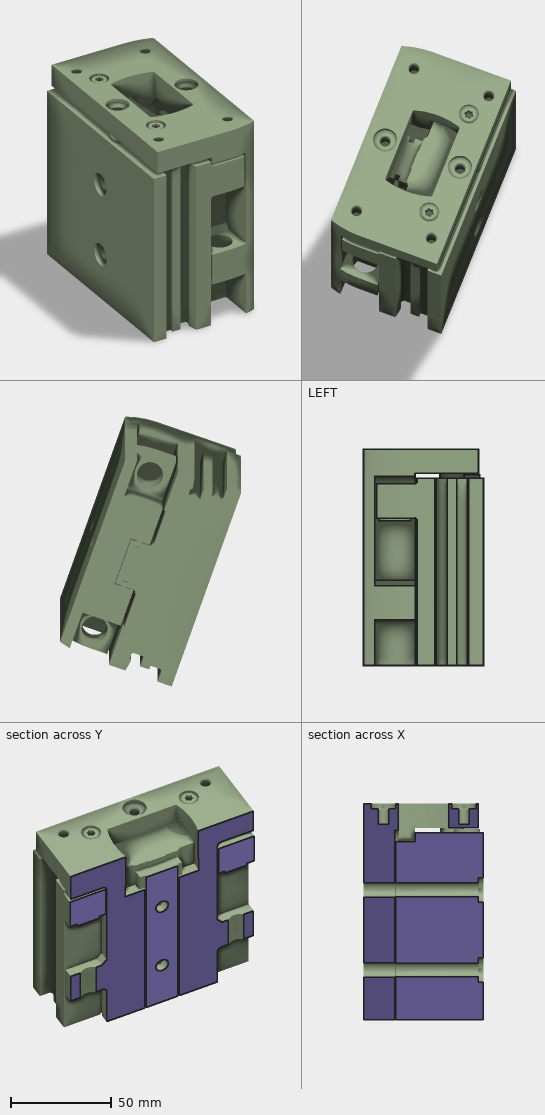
import cadquery as cq
import math

housing_width = 104.0
overall_depth = 60.0
overall_height = 108.0
housing_half = housing_width / 2
side_clearance = 0.4
slide_half = housing_half - side_clearance

side_arc_start_y = 44.3
side_arc_radius = 48.3

housing_height = 93.5
housing_depth = 33.3
back_recess_y = 32.4
back_recess_outer_x = 31.3
back_recess_inner_x = 13.9
rail_foot_y = 33.8
rail_pad_half = 5.0
rail_pad_y = 34.2

rail_half = 11.8
rail_back_y = 44.0
rail_height = 89.2
rail_groove_floor_x = 9.1
groove_front_y = 38.3
groove_back_y = 40.8

front_slot_start_y = 7.5
front_slot_end_y = 13.5
front_slot_depth = 6.5
front_slot_bevel = 0.9
lip_inset = 4.4
lip_end_y = 18.3
rear_slot_mouth_y = 23.7
rear_slot_back_y = 24.5
undercut_start = 5.9
rear_slot_depth = 9.7
rear_slot_bevel = 0.9

arm_top_z = 90.8
arm_bottom_z = 73.7
arm_back_y = 53.2
arm_inner_x = 31.8
arm_root_radius = 1.5
arm_root_overlap = 1.1
stop_x = 41.6
stop_y = 44.4
stop_pad_diameter = 16.0
stop_pad_height = 1.3
stop_hole_diameter = 13.0

mount_hole_z = (25.1, 65.0)
mount_hole_diameter = 6.7
slide_access_diameter = 7.0
counterbore_diameter = 12.0
counterbore_depth = 2.5

rod_x = 27.5
rod_y = 15.8
rod_diameter = 12.1
cap_diameter = 25.0
cap_recess_depth = 1.1

buffer_x = 8.0
buffer_y = 8.4
buffer_diameter = 13.0
buffer_height = 1.8

slide_front_y = 2.5
top_plate_bottom_z = 95.9
wall_front_y = 34.2
back_plate_front_y = 54.4
wall_outer_x = 31.2
chamber_top_z = 94.6
right_chamber_top_z = 92.2
chamber_fillet = 2.6
rib_bottom_z = 22.9
rib_top_z = 40.0
rib_chamfer = 2.7

channel_half = 12.3
tongue_x = 9.5
channel_back_y = 44.2
channel_height = 81.0
pocket_half = 20.5
pocket_corner_radius = 7.6

window_front_y = 17.5
window_back_y = 42.5
window_end_half = 19.4
window_middle_half = 21.5
window_corner_radius = 1.1

thread_x = 40.0
thread_rows_y = (9.9, 49.9)
thread_diameter = 5.0
thread_mouth_diameter = 6.0
thread_depth = 10.0

screw_recess_diameter = 10.0
screw_recess_depth = 1.3
screw_head_diameter = 8.5
screw_head_height = 0.9
screw_head_chamfer = 0.8
star_tip_radius = 2.5
star_root_radius = 1.8
star_tip_count = 6
star_depth = 3.2

both_sides = (-1, 1)


def block(x_range, y_range, z_range):
    """Box between the given pairs of coordinates."""
    sizes = [high - low for low, high in (x_range, y_range, z_range)]
    corner = (x_range[0], y_range[0], z_range[0])
    return cq.Workplane("XY").box(*sizes, centered=False).translate(corner)


def side_block(side, x_near, x_far, y_range, z_range):
    """Box on one side of the part, between two distances from the middle plane."""
    return block(sorted((side * x_near, side * x_far)), y_range, z_range)


def upright_cylinder(x, y, diameter, z_bottom, z_top):
    return cq.Workplane("XY", origin=(x, y, z_bottom)).circle(diameter / 2).extrude(z_top - z_bottom)


def y_cylinder(z, diameter, y_start, y_end):
    return cq.Workplane("XZ", origin=(0, y_start, z)).circle(diameter / 2).extrude(y_start - y_end)


def outline_half_width(half_width, y):
    """Half width of the rounded rear at a given Y."""
    run = y - side_arc_start_y
    return half_width - side_arc_radius + math.sqrt(side_arc_radius**2 - run**2)


def rounded_outline(half_width, y_front, y_back, height):
    """Block whose sides curve inward toward the back."""
    y_middle = (side_arc_start_y + y_back) / 2
    x_middle = outline_half_width(half_width, y_middle)
    x_back = outline_half_width(half_width, y_back)
    return (
        cq.Workplane("XY")
        .moveTo(-half_width, y_front)
        .lineTo(half_width, y_front)
        .lineTo(half_width, side_arc_start_y)
        .threePointArc((x_middle, y_middle), (x_back, y_back))
        .lineTo(-x_back, y_back)
        .threePointArc((-x_middle, y_middle), (-half_width, side_arc_start_y))
        .close()
        .extrude(height)
    )



def housing_profile():
    """Plan outline of the housing body with its side slots and the recesses on its back face."""
    def inset(depth):
        return housing_half - depth

    right_half = [
        (housing_half, 0),
        (housing_half, front_slot_start_y),
        (inset(front_slot_depth - front_slot_bevel), front_slot_start_y),
        (inset(front_slot_depth), front_slot_start_y + front_slot_bevel),
        (inset(front_slot_depth), front_slot_end_y),
        (inset(lip_inset), front_slot_end_y),
        (inset(lip_inset), lip_end_y),
        (inset(rear_slot_depth), lip_end_y),
        (inset(rear_slot_depth), rear_slot_back_y - rear_slot_bevel),
        (inset(rear_slot_depth - rear_slot_bevel), rear_slot_back_y),
        (inset(undercut_start), rear_slot_back_y),
        (inset(undercut_start), rear_slot_mouth_y),
        (inset(lip_inset), rear_slot_mouth_y),
        (housing_half, rear_slot_back_y),
        (housing_half, housing_depth),
        (back_recess_outer_x, housing_depth),
        (back_recess_outer_x, back_recess_y),
        (back_recess_inner_x, back_recess_y),
        (rail_half, rail_foot_y),
        (rail_pad_half, rail_foot_y),
        (rail_pad_half, rail_pad_y),
    ]
    left_half = [(-x, y) for x, y in reversed(right_half)]
    return cq.Workplane("XY").polyline(right_half + left_half).close()


def guide_rail():
    rail = block((-rail_half, rail_half), (back_recess_y, rail_back_y), (0, rail_height))
    for side in both_sides:
        rail = rail.cut(
            side_block(side, rail_groove_floor_x, rail_half, (groove_front_y, groove_back_y), (0, rail_height))
        )
    return rail


def stop_arm(side):
    """Arm reaching back from the housing, with rounded roots and a stop pad underneath."""
    root_y = housing_depth - arm_root_overlap
    bend = arm_root_radius * (1 - math.sqrt(0.5))
    profile = (
        cq.Workplane("YZ", origin=(arm_inner_x, 0, 0))
        .moveTo(root_y, arm_top_z + arm_root_radius)
        .lineTo(housing_depth, arm_top_z + arm_root_radius)
        .threePointArc(
            (housing_depth + bend, arm_top_z + bend),
            (housing_depth + arm_root_radius, arm_top_z),
        )
        .lineTo(arm_back_y, arm_top_z)
        .lineTo(arm_back_y, arm_bottom_z)
        .lineTo(housing_depth + arm_root_radius, arm_bottom_z)
        .threePointArc(
            (housing_depth + bend, arm_bottom_z - bend),
            (housing_depth, arm_bottom_z - arm_root_radius),
        )
        .lineTo(root_y, arm_bottom_z - arm_root_radius)
        .close()
    )
    arm = profile.extrude(housing_half - arm_inner_x)
    arm = arm.intersect(rounded_outline(housing_half, 0, arm_back_y, housing_height))
    pad = upright_cylinder(stop_x, stop_y, stop_pad_diameter, arm_bottom_z - stop_pad_height, arm_bottom_z)
    arm = arm.union(pad)
    return arm if side > 0 else arm.mirror("YZ")


def make_housing():
    housing = housing_profile().extrude(housing_height).union(guide_rail())
    for side in both_sides:
        housing = housing.union(stop_arm(side))
        cap_floor_z = housing_height - cap_recess_depth
        housing = housing.cut(
            upright_cylinder(side * rod_x, rod_y, cap_diameter, cap_floor_z, housing_height)
        )
    housing = housing.union(
        upright_cylinder(buffer_x, buffer_y, buffer_diameter, housing_height, housing_height + buffer_height)
    )
    for z in mount_hole_z:
        housing = housing.cut(y_cylinder(z, mount_hole_diameter, 0, rail_back_y))
        housing = housing.cut(y_cylinder(z, counterbore_diameter, 0, counterbore_depth))
    return housing



def side_chambers(side, top_z):
    """Open spaces above and below the rib on one side of the slide."""
    y_range = (wall_front_y, back_plate_front_y)
    inner_face = "<X" if side > 0 else ">X"
    upper = (
        side_block(side, wall_outer_x, housing_half, y_range, (rib_top_z, top_z))
        .faces(inner_face).edges(">Z").fillet(chamber_fillet)
        .faces(inner_face).edges("<Z").chamfer(rib_chamfer)
    )
    lower = (
        side_block(side, wall_outer_x, housing_half, y_range, (0, rib_bottom_z))
        .faces(inner_face).edges(">Z").fillet(chamber_fillet)
    )
    return upper, lower


def rail_channel():
    """Channel that fits around the rail and its grooves."""
    z_range = (0, channel_height)
    channel = block((-channel_half, channel_half), (wall_front_y, channel_back_y), z_range)
    for side in both_sides:
        channel = channel.cut(
            side_block(side, tongue_x, channel_half, (groove_front_y, groove_back_y), z_range)
        )
    return channel


def pocket():
    """Round-cornered pocket that widens the channel below the top plate."""
    return block(
        (-pocket_half, pocket_half),
        (wall_front_y, channel_back_y),
        (channel_height, chamber_top_z),
    ).faces(">Z").edges("|Y").fillet(pocket_corner_radius)


def window():
    middle_y = (window_front_y + window_back_y) / 2
    return (
        cq.Workplane("XY", origin=(0, 0, channel_height))
        .moveTo(-window_end_half, window_front_y)
        .lineTo(window_end_half, window_front_y)
        .threePointArc((window_middle_half, middle_y), (window_end_half, window_back_y))
        .lineTo(-window_end_half, window_back_y)
        .threePointArc((-window_middle_half, middle_y), (-window_end_half, window_front_y))
        .close()
        .extrude(overall_height - channel_height)
        .edges("|Z")
        .fillet(window_corner_radius)
    )


def threaded_hole(x, y, mouth_z):
    """Blank for a threaded hole whose mouth is chamfered."""
    mouth_chamfer = (thread_mouth_diameter - thread_diameter) / 2
    hole = upright_cylinder(x, y, thread_diameter, overall_height - thread_depth, mouth_z)
    mouth = (
        cq.Workplane("XY", origin=(x, y, mouth_z - mouth_chamfer))
        .circle(thread_diameter / 2)
        .workplane(offset=mouth_chamfer)
        .circle(thread_mouth_diameter / 2)
        .loft()
    )
    return hole.union(mouth)


def star_points():
    """Corners of the star socket, tips and roots in turn, starting with a tip toward the back."""
    corner_count = 2 * star_tip_count
    points = []
    for index in range(corner_count):
        angle = math.pi / 2 + index * 2 * math.pi / corner_count
        radius = star_root_radius if index % 2 else star_tip_radius
        points.append((radius * math.cos(angle), radius * math.sin(angle)))
    return points


def screw_recess(x):
    """Recess around a screw head, with the star socket in the head."""
    floor_z = overall_height - screw_recess_depth
    head_top_z = floor_z + screw_head_height
    recess = upright_cylinder(x, rod_y, screw_recess_diameter, floor_z, overall_height)
    head = (
        upright_cylinder(x, rod_y, screw_head_diameter, floor_z, head_top_z)
        .faces(">Z").chamfer(screw_head_chamfer)
    )
    socket = (
        cq.Workplane("XY", origin=(x, rod_y, head_top_z - star_depth))
        .polyline(star_points())
        .close()
        .extrude(star_depth)
    )
    return recess.cut(head).union(socket)


def make_slide():
    slide = rounded_outline(slide_half, slide_front_y, overall_depth, overall_height)
    slide = slide.cut(
        block((-housing_half, housing_half), (slide_front_y, wall_front_y), (0, top_plate_bottom_z))
    )
    slide = slide.cut(rail_channel())
    slide = slide.cut(pocket())
    for side, top_z in ((-1, chamber_top_z), (1, right_chamber_top_z)):
        for chamber in side_chambers(side, top_z):
            slide = slide.cut(chamber)
        slide = slide.cut(upright_cylinder(side * stop_x, stop_y, stop_hole_diameter, rib_bottom_z, rib_top_z))
    slide = slide.cut(window())

    for y in thread_rows_y:
        for side in both_sides:
            slide = slide.cut(threaded_hole(side * thread_x, y, overall_height))
        counterbore_floor_z = overall_height - counterbore_depth
        slide = slide.cut(upright_cylinder(0, y, counterbore_diameter, counterbore_floor_z, overall_height))
        slide = slide.cut(threaded_hole(0, y, counterbore_floor_z))

    for side in both_sides:
        rod_bottom_z = housing_height - cap_recess_depth
        slide = slide.union(
            upright_cylinder(side * rod_x, rod_y, rod_diameter, rod_bottom_z, top_plate_bottom_z)
        )
        slide = slide.cut(screw_recess(side * rod_x))

    for z in mount_hole_z:
        slide = slide.cut(y_cylinder(z, slide_access_diameter, channel_back_y, overall_depth))
    return slide


housing = make_housing()
slide = make_slide()

result = cq.Compound.makeCompound([*housing.solids().vals(), *slide.solids().vals()])